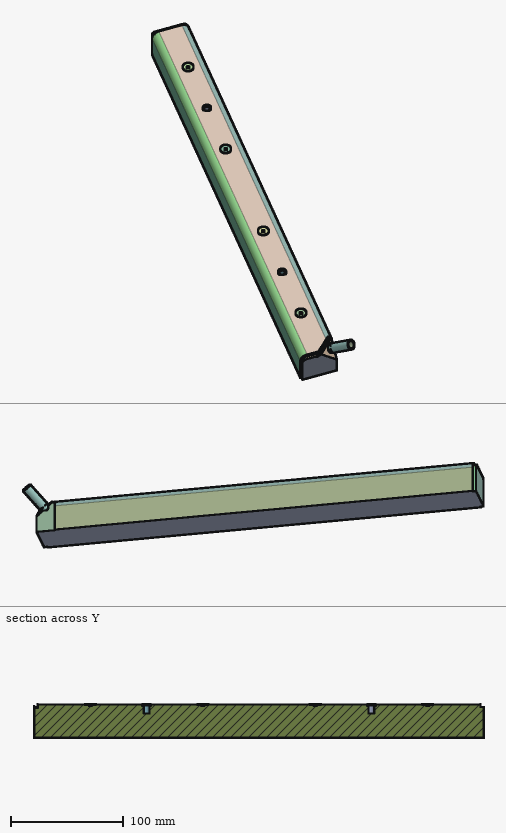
import cadquery as cq
import math

body_length = 400.0
body_width = 35.0
body_height = 30.0
edge_radius = 6.5

cap_length = 3.0
cap_side_inset = 1.2
cap_top_inset = 2.5
cap_edge_radius = 3.3
core_width = body_width - 2 * cap_side_inset
core_height = body_height - cap_top_inset

hole_pitch = body_length / 8
screw_steps = (1, 3, 5, 7)
screw_recess_diameter = 10.0
screw_recess_depth = 0.5
screw_socket_diameter = 2.5
screw_socket_depth = 1.5
tapped_steps = (2, 6)
tapped_counterbore_diameter = 7.5
tapped_counterbore_depth = 1.2
tapped_hole_diameter = 5.0
tapped_hole_depth = 8.2

cable_rise = math.radians(38)
cable_run = math.cos(cable_rise) / math.sqrt(2)
cable_direction = (cable_run, cable_run, math.sin(cable_rise))

corner_cut = 14.5
corner_cut_length = 17.0
ridge_setback = 11.5
ridge_height = 28.7

cable_diameter = 9.0
cable_bore_diameter = 7.0
cable_length = 26.5
cable_bore_depth = 22.5
overall_length = 410.5
overall_width = 48.5
overall_height = 42.5
cable_limits = (overall_length, overall_width - body_width / 2, overall_height)


def rounded_bar(width, height, radius, start, length):
    """Bar along X with both upper long edges rounded."""
    bar = cq.Workplane("XY").box(length, width, height, centered=(False, True, False))
    return bar.edges("|X and >Z").fillet(radius).translate((start, 0, 0))


def corner_prism(profile):
    """Prism across the corner; profile points are (distance outward along the diagonal, height)."""
    corner = (body_length, body_width / 2, 0)
    section = cq.Plane(origin=corner, xDir=(1, 1, 0), normal=(1, -1, 0))
    return cq.Workplane(section).polyline(profile).close().extrude(body_width, both=True)


def top_pegs(steps, diameter, depth):
    """Cylinders reaching down from the top face at the given multiples of the hole pitch."""
    points = [(step * hole_pitch, 0) for step in steps]
    top = cq.Workplane("XY", origin=(0, 0, body_height))
    return top.pushPoints(points).circle(diameter / 2).extrude(-depth)


housing = rounded_bar(body_width, body_height, edge_radius, cap_length, body_length - 2 * cap_length)
core = rounded_bar(core_width, core_height, cap_edge_radius, 0, body_length)
cut_prism = corner_prism(
    [(-corner_cut, 0), (-corner_cut, body_height), (0, body_height), (0, 0)]
)
cut_limit = (
    cq.Workplane("XY")
    .box(corner_cut_length, body_width, body_height, centered=(False, True, False))
    .translate((body_length - corner_cut_length, 0, 0))
)
corner_space = cut_prism.intersect(cut_limit)
bar = housing.union(core).cut(corner_space)

ledge_height = ridge_height - math.tan(cable_rise) * (corner_cut - ridge_setback)
facet_foot_height = ridge_height - ridge_setback / math.tan(cable_rise)
corner_block = corner_prism(
    [
        (-corner_cut, 0),
        (-corner_cut, ledge_height),
        (-ridge_setback, ridge_height),
        (0, facet_foot_height),
        (0, 0),
    ]
)
corner_stock = rounded_bar(core_width, body_height, cap_edge_radius, 0, body_length)
bar = bar.union(corner_stock.intersect(corner_block))

cable_tip = tuple(
    limit - cable_diameter / 2 * math.sqrt(1 - component**2)
    for limit, component in zip(cable_limits, cable_direction)
)
cable_end = cq.Workplane(cq.Plane(origin=cable_tip, normal=cable_direction))
bar = bar.union(cable_end.circle(cable_diameter / 2).extrude(-cable_length))
bar = bar.cut(cable_end.circle(cable_bore_diameter / 2).extrude(-cable_bore_depth))

bar = bar.cut(top_pegs(screw_steps, screw_recess_diameter, screw_recess_depth))
bar = bar.cut(top_pegs(screw_steps, screw_socket_diameter, screw_socket_depth))

bar = bar.cut(top_pegs(tapped_steps, tapped_counterbore_diameter, tapped_counterbore_depth))
bar = bar.cut(top_pegs(tapped_steps, tapped_hole_diameter, tapped_hole_depth))

result = bar